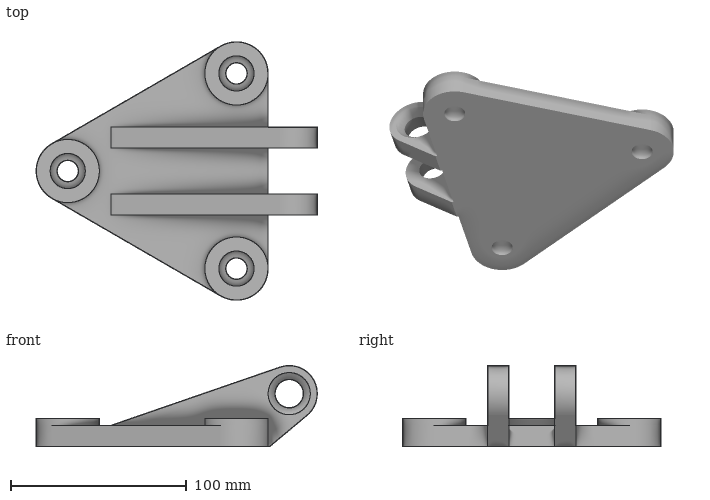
import cadquery as cq
import math

boss_radius = 18.0
boss_height = 16.0
plate_thickness = 12.0
bolt_spread_x = 96.0
bolt_spread_y = 111.0
bolt_hole_diameter = 12.0
counterbore_diameter = 20.0
counterbore_depth = 6.0

lug_thickness = 12.0
lug_gap = 26.0
eye_radius = 16.0
pin_hole_diameter = 16.0
countersink_diameter = 24.0
countersink_angle = 90.0
overall_length = 160.0
eye_height = 30.0
lug_start_x = 42.5
lug_heel_x = 133.0

rear_x = boss_radius + bolt_spread_x
boss_centers = [(boss_radius, 0), (rear_x, -bolt_spread_y / 2), (rear_x, bolt_spread_y / 2)]
eye_center = (overall_length - eye_radius, eye_height)


def tangent_point(start, side):
    """Point where a line from start touches the eye; side +1 is above, -1 below."""
    dx = start[0] - eye_center[0]
    dz = start[1] - eye_center[1]
    angle = math.atan2(dz, dx) - side * math.acos(eye_radius / math.hypot(dx, dz))
    return (
        eye_center[0] + eye_radius * math.cos(angle),
        eye_center[1] + eye_radius * math.sin(angle),
    )


def make_base():
    """Plate with rounded corners, raised round bosses on top of it."""
    plate = cq.Workplane("XY").polyline(boss_centers).close().offset2D(boss_radius).extrude(plate_thickness)
    bosses = cq.Workplane("XY").pushPoints(boss_centers).circle(boss_radius).extrude(boss_height)
    return plate.union(bosses).clean()


def make_lug():
    """Lug on the -Y side, countersunk on its outer face."""
    toe = (lug_start_x, plate_thickness)
    heel = (lug_heel_x, 0)
    outer_y = -lug_gap / 2 - lug_thickness
    plane = cq.Workplane("XZ", origin=(0, outer_y, 0))
    lug = (
        plane.moveTo(lug_start_x, 0)
        .lineTo(*toe)
        .lineTo(*tangent_point(toe, 1))
        .threePointArc((overall_length, eye_height), tangent_point(heel, -1))
        .lineTo(*heel)
        .close()
        .extrude(-lug_thickness)
    )
    return (
        lug.faces("<Y")
        .workplane(origin=(eye_center[0], outer_y, eye_center[1]))
        .cskHole(pin_hole_diameter, countersink_diameter, countersink_angle)
    )


near_lug = make_lug()
far_lug = near_lug.mirror("XZ")
body = make_base().union(near_lug).union(far_lug)

bolt_holes = cq.Workplane("XY").pushPoints(boss_centers).circle(bolt_hole_diameter / 2).extrude(boss_height)
counterbores = (
    cq.Workplane("XY", origin=(0, 0, boss_height))
    .pushPoints(boss_centers)
    .circle(counterbore_diameter / 2)
    .extrude(-counterbore_depth)
)
result = body.cut(bolt_holes).cut(counterbores)